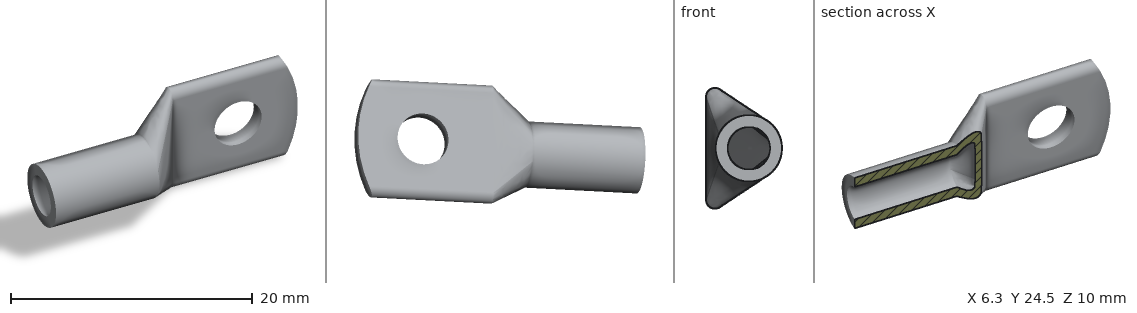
import cadquery as cq
import math

total_length = 24.5
barrel_diameter = 5.5
bore_diameter = 3.5
barrel_length = 9.48
barrel_center_x = 3.55
palm_start = 13.03
palm_thickness = 1.5
palm_width = 10.0
palm_hole_diameter = 4.3
palm_hole_y = 19.0
tip_radius = 10.3
pinch_thickness = 0.02

side_angle = math.radians(25)

palm_center_x = palm_thickness / 2
edge_radius = palm_thickness / 2
flat_half_width = palm_width / 2 - edge_radius
barrel_radius = barrel_diameter / 2
bore_radius = bore_diameter / 2


def section_plane(y):
    """Plane across the part at y: local x is X and local y is Z."""
    return cq.Plane(origin=(0, y, 0), xDir=(1, 0, 0), normal=(0, -1, 0))


def round_outline(y, radius):
    """Circle about the barrel axis, split into two short side arcs and two long end arcs."""
    dx = radius * math.cos(side_angle)
    dz = radius * math.sin(side_angle)
    return (
        cq.Workplane(section_plane(y))
        .center(barrel_center_x, 0)
        .moveTo(dx, -dz)
        .threePointArc((radius, 0), (dx, dz))
        .threePointArc((0, radius), (-dx, dz))
        .threePointArc((-radius, 0), (-dx, -dz))
        .threePointArc((0, -radius), (dx, -dz))
        .close()
    )


def flat_outline(y, radius):
    """Stadium about the palm mid-plane, with straight sides and round ends."""
    end_z = flat_half_width + radius
    return (
        cq.Workplane(section_plane(y))
        .center(palm_center_x, 0)
        .moveTo(radius, -flat_half_width)
        .lineTo(radius, flat_half_width)
        .threePointArc((0, end_z), (-radius, flat_half_width))
        .lineTo(-radius, -flat_half_width)
        .threePointArc((0, -end_z), (radius, -flat_half_width))
        .close()
    )


def make_tube(radius):
    """Straight round length from the barrel mouth to the start of the transition."""
    return round_outline(0, radius).extrude(-barrel_length)


def make_transition(round_radius, flat_radius):
    """Ruled loft from a round section at the barrel to a flattened one at the palm."""
    sections = [
        round_outline(barrel_length, round_radius).val(),
        flat_outline(palm_start, flat_radius).val(),
    ]
    return cq.Workplane(obj=cq.Solid.makeLoft(sections, True))


def make_palm():
    """Flat tongue with round long edges, an arced tip and a bolt hole."""
    blank = flat_outline(palm_start, edge_radius).extrude(palm_start - total_length)
    tip_disc = (
        cq.Workplane("YZ")
        .center(total_length - tip_radius, 0)
        .circle(tip_radius)
        .extrude(palm_thickness)
    )
    bolt_hole = (
        cq.Workplane("YZ")
        .center(palm_hole_y, 0)
        .circle(palm_hole_diameter / 2)
        .extrude(palm_thickness)
    )
    return blank.intersect(tip_disc).cut(bolt_hole)


outer = make_tube(barrel_radius).union(make_transition(barrel_radius, edge_radius)).union(make_palm())
bore = make_tube(bore_radius).union(make_transition(bore_radius, pinch_thickness / 2))
result = outer.cut(bore)